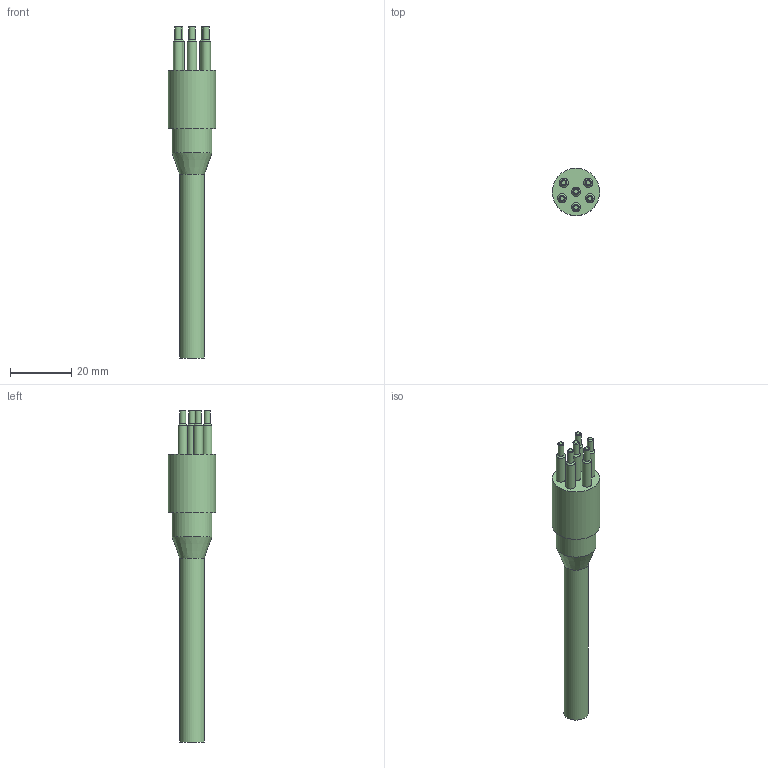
import cadquery as cq
import math

total_length = 108.5
cable_diameter = 8.0
cable_length = 60.0
taper_length = 7.0
neck_diameter = 13.0
neck_length = 8.0
body_diameter = 15.5
body_length = 19.0

shank_diameter = 3.0
tip_diameter = 2.0
tip_length = 4.5
tip_chamfer = 0.3
shoulder_chamfer = (shank_diameter - tip_diameter) / 2

contact_circle_radius = 5.0
contact_angles = [-90.0, -24.0, 37.0, 143.0, 204.0]

taper_top = cable_length + taper_length
neck_top = taper_top + neck_length
body_top = neck_top + body_length


def make_body():
    """Revolve the cable, strain-relief taper, neck and plug body as one solid."""
    cable_radius = cable_diameter / 2
    neck_radius = neck_diameter / 2
    body_radius = body_diameter / 2
    profile = [
        (0, 0),
        (cable_radius, 0),
        (cable_radius, cable_length),
        (neck_radius, taper_top),
        (neck_radius, neck_top),
        (body_radius, neck_top),
        (body_radius, body_top),
        (0, body_top),
    ]
    outline = cq.Workplane("XZ").polyline(profile).close()
    return outline.revolve(360, (0, 0, 0), (0, 1, 0))


def make_contact(x, y):
    """Revolve one stepped contact standing on the plug face at (x, y)."""
    shank_radius = shank_diameter / 2
    tip_radius = tip_diameter / 2
    tip_base = total_length - tip_length
    profile = [
        (0, body_top),
        (shank_radius, body_top),
        (shank_radius, tip_base - shoulder_chamfer),
        (tip_radius, tip_base),
        (tip_radius, total_length - tip_chamfer),
        (tip_radius - tip_chamfer, total_length),
        (0, total_length),
    ]
    outline = cq.Workplane("XZ").polyline(profile).close()
    return outline.revolve(360, (0, 0, 0), (0, 1, 0)).translate((x, y, 0))


def contact_positions():
    """Return the XY centres of the central contact and the ring of contacts."""
    positions = [(0, 0)]
    for angle in contact_angles:
        direction = math.radians(angle)
        x = contact_circle_radius * math.cos(direction)
        y = contact_circle_radius * math.sin(direction)
        positions.append((x, y))
    return positions


result = make_body()
for contact_x, contact_y in contact_positions():
    result = result.union(make_contact(contact_x, contact_y))